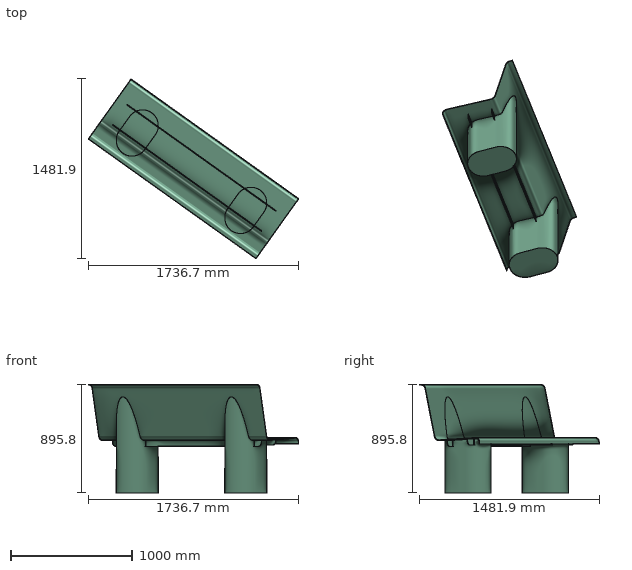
import cadquery as cq
import math

bench_length = 1700.0
bench_depth = 607.5
bench_height = 895.84
turn_angle = -35.508

sheet_thickness = 5.0
lip_bend_radius = 40.0
seat_bend_radius = 45.0
nose_bend_radius = 38.0
lip_corner_depth = 49.0
backrest_lean = 13.4
seat_tilt = 3.0
seat_front_height = 458.5
nose_bottom_height = 406.0

leg_radius = 130.0
leg_back = 70.0
leg_length = 410.0
leg_cap_thickness = 4.5
leg_spacing = 1100.0

rail_thickness = 5.0
rail_overhang = 75.0
rail_depth_below_seat = 50.0
rail_corner_radius = 35.0
rail_positions = (212.0, 416.0)

half_sheet = sheet_thickness / 2
lip_height = bench_height - half_sheet
nose_depth = bench_depth - half_sheet
lean_slope = math.tan(math.radians(backrest_lean))
tilt_slope = math.tan(math.radians(seat_tilt))
seat_rear_depth = (
    lip_corner_depth + lean_slope * (lip_height - seat_front_height + tilt_slope * nose_depth)
) / (1 + lean_slope * tilt_slope)
seat_rear_height = seat_front_height - tilt_slope * (nose_depth - seat_rear_depth)
sheet_corners = [
    (0.0, lip_height),
    (lip_corner_depth, lip_height),
    (seat_rear_depth, seat_rear_height),
    (nose_depth, seat_front_height),
    (nose_depth, nose_bottom_height),
]

bend_radii = [lip_bend_radius, seat_bend_radius, nose_bend_radius]

leg_centres = [bench_length / 2 + side * leg_spacing / 2 for side in (-1, 1)]
rail_length = leg_spacing + 2 * (leg_radius + rail_overhang)


def direction(start, end):
    return cq.Vector(end[0] - start[0], end[1] - start[1]).normalized()


def offset_corners(distance):
    """Sheet corners shifted sideways, upward for a positive distance, and mitred."""
    runs = [direction(start, end) for start, end in zip(sheet_corners, sheet_corners[1:])]
    shifted = []
    for corner, before, after in zip(sheet_corners, runs[:1] + runs, runs + runs[-1:]):
        left_before = cq.Vector(-before.y, before.x)
        left_after = cq.Vector(-after.y, after.x)
        mitre = (left_before + left_after) / (1 + left_before.dot(left_after))
        shifted.append((corner[0] + distance * mitre.x, corner[1] + distance * mitre.y))
    return shifted


def add_bends(outline, corners, radii, offset):
    """Continue an outline along straight runs joined by arcs.

    The offset is the distance of the runs to the left of the sheet centre line, so that
    the bends on both faces of the sheet are concentric.
    """
    for before, corner, after, centre_radius in zip(corners, corners[1:], corners[2:], radii):
        arriving = direction(before, corner)
        leaving = direction(corner, after)
        turn = arriving.cross(leaving).z
        radius = centre_radius - math.copysign(1, turn) * offset
        half_turn = math.acos(arriving.dot(leaving)) / 2
        setback = radius * math.tan(half_turn)
        bulge = radius / math.cos(half_turn) - radius
        vertex = cq.Vector(*corner)
        bend_start = vertex - arriving * setback
        bend_middle = vertex + (leaving - arriving).normalized() * bulge
        bend_end = vertex + leaving * setback
        outline = outline.lineTo(bend_start.x, bend_start.y)
        outline = outline.threePointArc((bend_middle.x, bend_middle.y), (bend_end.x, bend_end.y))
    return outline.lineTo(*corners[-1])


def make_sheet():
    upper = offset_corners(half_sheet)
    lower = offset_corners(-half_sheet)
    outline = cq.Workplane("YZ").moveTo(*upper[0])
    outline = add_bends(outline, upper, bend_radii, half_sheet)
    outline = outline.lineTo(*lower[-1])
    outline = add_bends(outline, lower[::-1], bend_radii[::-1], half_sheet)
    return outline.close().extrude(bench_length)


def make_space_below(distance):
    """Everything down to the ground that is at least this far below the sheet centre line."""
    lower = offset_corners(-distance)
    outline = cq.Workplane("YZ").moveTo(*lower[0])
    outline = add_bends(outline, lower, bend_radii, -distance)
    outline = outline.lineTo(lower[-1][0], 0).lineTo(lower[0][0], 0)
    return outline.close().extrude(bench_length)


def make_rail(depth):
    """Plate whose lower corners are rounded and whose top follows the seat underside."""
    seat_height = seat_rear_height + tilt_slope * (depth - seat_rear_depth)
    bottom = seat_height - half_sheet - rail_depth_below_seat
    plate = (
        cq.Workplane("XY")
        .box(rail_length, rail_thickness, 2 * rail_depth_below_seat, centered=(True, True, False))
        .edges("|Y and <Z")
        .fillet(rail_corner_radius)
        .translate((bench_length / 2, depth, bottom))
    )
    return plate.intersect(space_below_sheet)


def make_leg(centre):
    """Stadium column trimmed by the sheet and slotted for the rails that pass through it.

    The cap, a layer of even thickness against the sheet, keeps its own side faces.
    """
    column = (
        cq.Workplane("XY")
        .center(centre, leg_back + leg_length / 2)
        .slot2D(leg_length, 2 * leg_radius, 90)
        .extrude(bench_height)
    )
    shaft = column.intersect(space_below_cap)
    cap = column.intersect(space_below_sheet).cut(space_below_cap)
    leg = shaft.union(cap, clean=False)
    for rail in rails:
        leg = leg.cut(rail, clean=False)
    return leg


sheet = make_sheet()
space_below_sheet = make_space_below(half_sheet)
space_below_cap = make_space_below(half_sheet + leg_cap_thickness)
rails = [make_rail(depth) for depth in rail_positions]
legs = [make_leg(centre) for centre in leg_centres]

ground_corner = cq.Vector(0, 0, 0)
upright = cq.Vector(0, 0, 1)
parts = [sheet, *legs, *rails]
solids = [part.solids().val().rotate(ground_corner, upright, turn_angle) for part in parts]
result = cq.Compound.makeCompound(solids)